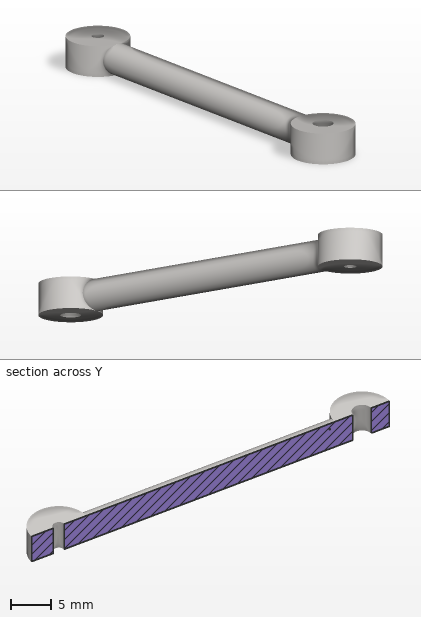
import cadquery as cq

overall_length = 52.0
eye_diameter = 8.0
thickness = 4.0
small_hole_diameter = 1.55
large_hole_diameter = 2.6

eye_offset = (overall_length - eye_diameter) / 2


def upright_cylinder(x, diameter, seam_angle=0):
    """Vertical cylinder at x, as tall as the eyes, with its seam turned to seam_angle."""
    base = cq.Workplane("XY", origin=(x, 0, -thickness / 2))
    cylinder = base.circle(diameter / 2).extrude(thickness)
    return cylinder.rotate((x, 0, 0), (x, 0, 1), seam_angle)


rod_start = cq.Workplane("YZ", origin=(-eye_offset, 0, 0))
rod = rod_start.circle(thickness / 2).extrude(2 * eye_offset)

small_eye = upright_cylinder(-eye_offset, eye_diameter)
large_eye = upright_cylinder(eye_offset, eye_diameter, seam_angle=180)

small_hole = upright_cylinder(-eye_offset, small_hole_diameter)
large_hole = upright_cylinder(eye_offset, large_hole_diameter)

result = rod.union(small_eye).union(large_eye).cut(small_hole).cut(large_hole)